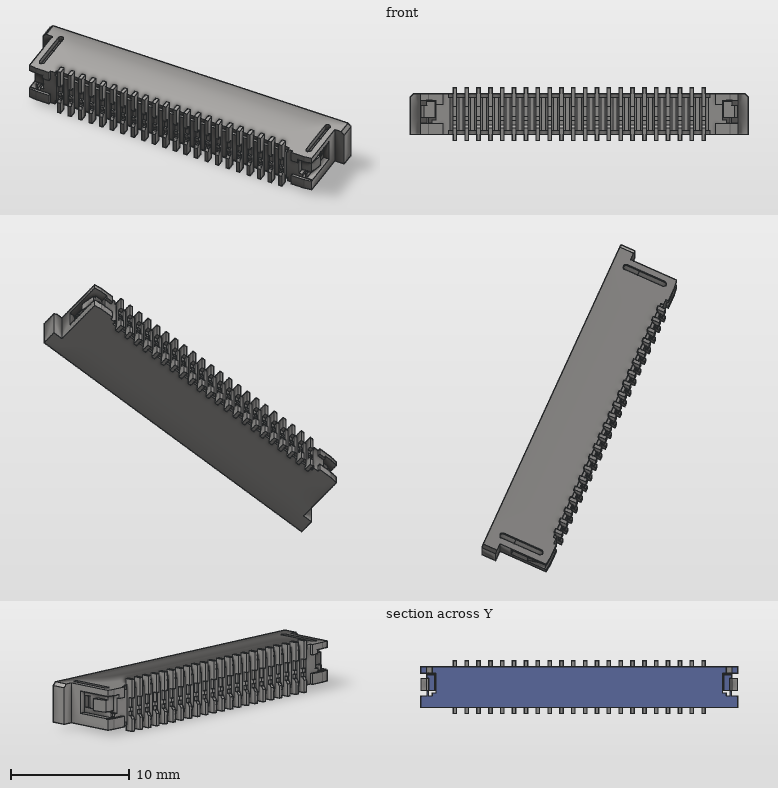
import cadquery as cq


length = 28.6
depth = 5.75
height = 4.5
back_y = depth / 2
tail_front_y = -depth / 2

tail_overhang = 0.51
housing_top = height / 2 - tail_overhang
housing_height = 2 * housing_top
flange_depth = 1.3
flange_overhang = 0.9
flange_chamfer = 0.3
side_x = length / 2 - flange_overhang
front_y = -2.55

foot_inner_x = 11.5
foot_bend_x = 12.73
foot_front_y = -2.77
foot_side_y = -2.7
foot_gap_top = 0.83
foot_gap_bottom = -0.8

pocket_inner_x = 12.13
pocket_back_y = 0.55
pocket_top = 1.17
pocket_bottom = -0.75

block_inner_x = 12.2
block_outer_x = 12.9
block_front_y = -2.2
block_top = 1.05
block_bottom = -0.3

barb_root_x = 13.13
barb_tip_x = 13.38
barb_back_y = -0.97
barb_top = 0.75
recess_floor_x = 12.73
recess_front_y = -0.11
recess_wall_y = -0.03
recess_ramp_y = 0.25
recess_back_y = 0.45

support_inner_x = 12.73
support_outer_x = 12.87
pad_outer_x = 12.45
pad_top = -0.5

slot_inner_x = 12.45
slot_outer_x = 12.9
slot_front_y = -2.03
slot_back_y = 1.92
slot_depth = 0.51

contact_count = 22
contact_pitch = 1.0
contact_width = 0.31
tail_back_y = -2.2
beam_front_y = -2.72
upper_tail_end = 0.63
beam_top = -0.2
beam_bottom = -0.55
lower_ramp_top = -0.92
lower_ramp_bottom = -1.17

bay_half_length = 11.05
lip_y = -2.3
bay_half_height = 1.4
bay_end_x = 10.93
rib_flat = 0.35


def box(x_range, y_range, z_range):
    """Box between two corners given as coordinate pairs."""
    sizes = [high - low for low, high in (x_range, y_range, z_range)]
    corner = (x_range[0], y_range[0], z_range[0])
    return cq.Workplane("XY").box(*sizes, centered=False).translate(corner)


def prism(points, z_low, z_high):
    """Extrude an XY outline between two heights."""
    return cq.Workplane("XY").workplane(offset=z_low).polyline(points).close().extrude(z_high - z_low)


def mirrored(shape):
    """A feature of the +X end together with its mirror at the -X end."""
    return shape.union(shape.mirror("YZ"))


def make_housing():
    flange = (
        cq.Workplane("XY")
        .box(length, flange_depth, housing_height)
        .translate((0, back_y - flange_depth / 2, 0))
        .edges("|Y and >Z")
        .chamfer(flange_chamfer)
    )
    core = box((-side_x, side_x), (front_y, back_y), (-housing_top, housing_top))
    return flange.union(core)


def make_foot():
    outline = [
        (foot_inner_x, front_y),
        (foot_inner_x, foot_front_y),
        (foot_bend_x, foot_front_y),
        (side_x, foot_side_y),
        (side_x, front_y),
    ]
    upper = prism(outline, foot_gap_top, housing_top)
    lower = prism(outline, -housing_top, foot_gap_bottom)
    return upper.union(lower)


def make_pocket():
    return box((pocket_inner_x, length), (-depth, pocket_back_y), (pocket_bottom, pocket_top))


def make_retainer():
    block = box(
        (block_inner_x, block_outer_x), (block_front_y, pocket_back_y), (block_bottom, block_top)
    )
    barb_outline = [
        (block_outer_x, barb_back_y),
        (block_outer_x, block_front_y),
        (barb_root_x, block_front_y),
        (barb_tip_x, barb_back_y),
    ]
    recess_outline = [
        (block_outer_x, recess_front_y),
        (recess_floor_x, recess_wall_y),
        (recess_floor_x, recess_ramp_y),
        (block_outer_x, recess_back_y),
    ]
    barb = prism(barb_outline, block_bottom, barb_top)
    recess = prism(recess_outline, block_bottom, barb_top)
    support = box(
        (support_inner_x, support_outer_x), (front_y, pocket_back_y), (pocket_bottom, block_bottom)
    )
    pad = box((pocket_inner_x, pad_outer_x), (front_y, pocket_back_y), (pocket_bottom, pad_top))
    return block.union(barb).cut(recess).union(support).union(pad)


def make_top_slot():
    return (
        cq.Workplane("XY")
        .workplane(offset=housing_top - slot_depth)
        .center((slot_inner_x + slot_outer_x) / 2, (slot_front_y + slot_back_y) / 2)
        .slot2D(slot_back_y - slot_front_y, slot_outer_x - slot_inner_x, 90)
        .extrude(slot_depth)
    )


def make_lip_cut():
    x_range = (-bay_half_length, bay_half_length)
    y_range = (-depth, lip_y)
    upper = box(x_range, y_range, (bay_half_height, housing_top))
    return upper.union(upper.mirror("XY"))


def make_bay_cut():
    return box((-bay_end_x, bay_end_x), (-depth, lip_y), (-bay_half_height, bay_half_height))


def make_rib(x):
    half_gap = (contact_pitch - contact_width) / 2
    outline = [
        (x - half_gap, lip_y),
        (x - rib_flat / 2, front_y),
        (x + rib_flat / 2, front_y),
        (x + half_gap, lip_y),
    ]
    return prism(outline, -bay_half_height, bay_half_height)


def make_bay_end():
    last_contact_edge = contact_pitch * (contact_count - 1) / 2 + contact_width / 2
    outline = [(bay_end_x, lip_y), (bay_end_x, front_y), (last_contact_edge, lip_y)]
    return prism(outline, -bay_half_height, bay_half_height)


def make_contact(x):
    profile = [
        (tail_back_y, height / 2),
        (tail_front_y, height / 2),
        (tail_front_y, upper_tail_end),
        (front_y, upper_tail_end),
        (front_y, beam_top),
        (beam_front_y, beam_top),
        (beam_front_y, beam_bottom),
        (front_y, beam_bottom),
        (front_y, lower_ramp_top),
        (beam_front_y, lower_ramp_top),
        (tail_front_y, lower_ramp_bottom),
        (tail_front_y, -height / 2),
        (tail_back_y, -height / 2),
    ]
    contact = cq.Workplane("YZ").polyline(profile).close().extrude(contact_width / 2, both=True)
    return contact.translate((x, 0, 0))


result = make_housing().union(mirrored(make_foot()))
result = result.cut(mirrored(make_pocket())).union(mirrored(make_retainer()))
result = result.cut(mirrored(make_top_slot()))
result = result.cut(make_lip_cut()).cut(make_bay_cut()).union(mirrored(make_bay_end()))

first_contact_x = -contact_pitch * (contact_count - 1) / 2
for index in range(contact_count):
    contact_x = first_contact_x + index * contact_pitch
    result = result.union(make_contact(contact_x))
    if index < contact_count - 1:
        result = result.union(make_rib(contact_x + contact_pitch / 2))